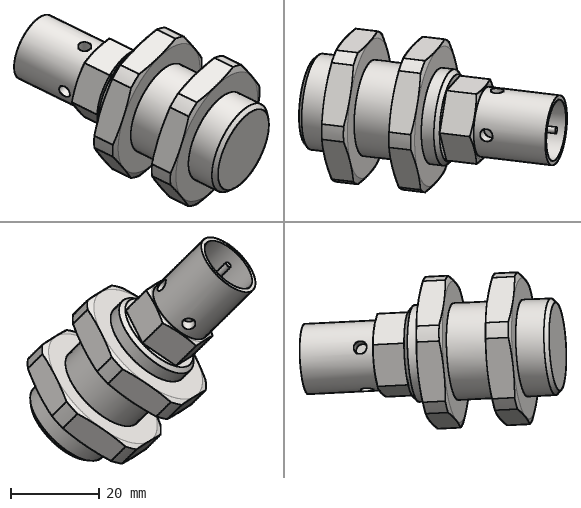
import cadquery as cq
import math

SLEEVE_LENGTH = 17.0
HEX_LENGTH = 7.5
TOTAL_LENGTH = 58.0
BODY_START = SLEEVE_LENGTH + HEX_LENGTH
BODY_LENGTH = TOTAL_LENGTH - BODY_START

SLEEVE_DIAMETER = 16.0
BORE_DIAMETER = 14.0
BORE_DEPTH = 12.0
PIN_DIAMETER = 1.5
CROSS_HOLE_DIAMETER = 3.0
CROSS_HOLE_DEPTH = 3.0
CROSS_HOLE_X = 14.0
CROSS_HOLE_COUNT = 4

HEX_ACROSS_FLATS = 17.0

BODY_DIAMETER = 22.0
BODY_CHAMFER = 1.0

NUT_ACROSS_FLATS = 32.0
NUT_CORNER_DIAMETER = 35.0
NUT_THICKNESS = 6.0
NUT_STARTS = (28.5, 44.5)

CORNER_CHAMFER_SLOPE = math.tan(math.radians(15.0))

CENTER_AXIS_START = (0, 0, 0)
CENTER_AXIS_END = (1, 0, 0)


def cylinder(start, length, diameter):
    """Cylinder on the X axis."""
    return cq.Workplane("YZ", origin=(start, 0, 0)).circle(diameter / 2).extrude(length)


def corner_diameter(across_flats):
    """Distance across the sharp corners of a regular hexagon."""
    return across_flats / math.cos(math.radians(30))


def hexagon(start, length, across_flats):
    """Hexagonal prism on the X axis, with flats facing +Z and -Z."""
    profile = cq.Workplane("YZ", origin=(start, 0, 0)).polygon(6, corner_diameter(across_flats))
    return profile.extrude(length)


def chamfer_envelope(start, length, face_diameter, outer_diameter, both_ends):
    """Turned blank, coned at its start and optionally at its other end."""
    face_radius = face_diameter / 2
    outer_radius = outer_diameter / 2
    cone_length = (outer_radius - face_radius) * CORNER_CHAMFER_SLOPE
    end = start + length

    profile = (
        cq.Workplane("XY")
        .moveTo(start, 0)
        .lineTo(start, face_radius)
        .lineTo(start + cone_length, outer_radius)
    )
    if both_ends:
        profile = profile.lineTo(end - cone_length, outer_radius).lineTo(end, face_radius)
    else:
        profile = profile.lineTo(end, outer_radius)
    return profile.lineTo(end, 0).close().revolve(360, CENTER_AXIS_START, CENTER_AXIS_END)


def make_body():
    return cylinder(BODY_START, BODY_LENGTH, BODY_DIAMETER).edges("%CIRCLE").chamfer(BODY_CHAMFER)


def make_hex_section():
    """Hexagon with its corners chamfered on the sleeve side only."""
    envelope = chamfer_envelope(
        SLEEVE_LENGTH, HEX_LENGTH, HEX_ACROSS_FLATS, corner_diameter(HEX_ACROSS_FLATS), both_ends=False
    )
    return hexagon(SLEEVE_LENGTH, HEX_LENGTH, HEX_ACROSS_FLATS).intersect(envelope)


def make_nut(start):
    """Hexagonal nut with rounded corners, chamfered on both faces."""
    envelope = chamfer_envelope(
        start, NUT_THICKNESS, NUT_ACROSS_FLATS, NUT_CORNER_DIAMETER, both_ends=True
    )
    return hexagon(start, NUT_THICKNESS, NUT_ACROSS_FLATS).intersect(envelope)


def make_cross_hole(index):
    """Cutter for one blind radial hole; index 0 is the hole on the +Z side."""
    floor_radius = SLEEVE_DIAMETER / 2 - CROSS_HOLE_DEPTH
    cutter = (
        cq.Workplane("XY", origin=(CROSS_HOLE_X, 0, floor_radius))
        .circle(CROSS_HOLE_DIAMETER / 2)
        .extrude(CROSS_HOLE_DEPTH)
    )
    return cutter.rotate(CENTER_AXIS_START, CENTER_AXIS_END, index * 360 / CROSS_HOLE_COUNT)


def make_sleeve():
    """Sleeve with a blind bore, a contact pin flush with its rim and radial holes."""
    sleeve = cylinder(0, SLEEVE_LENGTH, SLEEVE_DIAMETER)
    sleeve = sleeve.cut(cylinder(0, BORE_DEPTH, BORE_DIAMETER))
    sleeve = sleeve.union(cylinder(0, SLEEVE_LENGTH, PIN_DIAMETER))
    for index in range(CROSS_HOLE_COUNT):
        sleeve = sleeve.cut(make_cross_hole(index))
    return sleeve


result = make_body().union(make_hex_section()).union(make_sleeve())
for nut_start in NUT_STARTS:
    result = result.union(make_nut(nut_start))